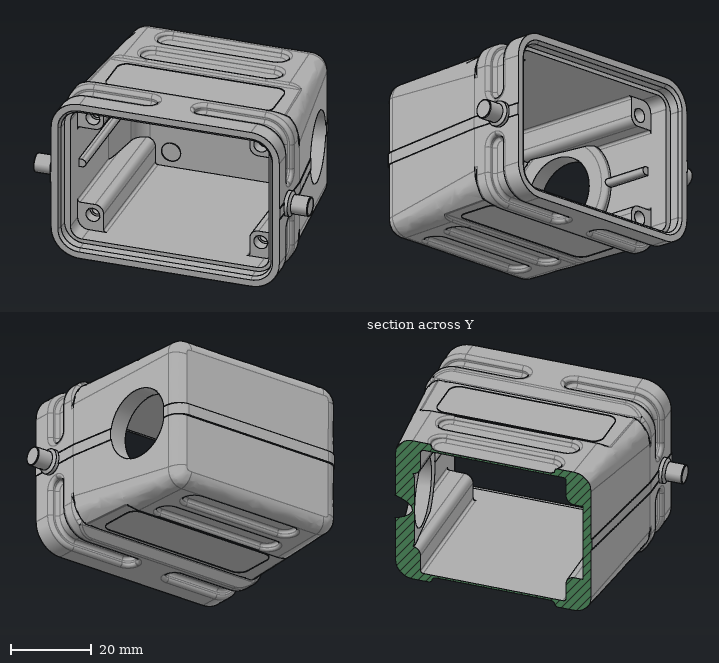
import cadquery as cq
import math


collar_half_x = 30.0
collar_half_z = 21.5
outer_corner = 7.5
collar_end = 15.1
collar_edge_fillet = 0.8
collar_end_fillet = 0.9
back_y = 50.8
taper_angle = 7.5
shell_half_z = 20.1
back_corner = 4.2
back_fillet = 3.5

parting_rib_width = 3.0
parting_rib_back = 0.5
parting_rib_side = 0.2

panel_end_y = 30.5
panel_half_z = 19.2
panel_step_fillet = 0.7
panel_side_fillet = 0.65
frame_half_x = 22.0
frame_start_y = 16.0
frame_end_y = 29.0
frame_corner = 2.7
frame_depth = 0.15

finger_slots = [(43.6, 34.3), (34.7, 37.0)]
slot_width = 5.8
slot_depth = 1.6
slot_rim_fillet = 0.75
slot_floor_fillet = 0.8

groove_centre_y = 8.1
groove_width = 4.8
groove_depth = 2.4
groove_end = 5.0
groove_rim_fillet = 1.0
groove_floor_fillet = 0.9
groove_tip_round = 2.3

mouth_half_x = 27.6
mouth_half_z = 18.9
mouth_corner = 5.0
mouth_depth = 3.4
lead_in_x = 0.6
lead_in_z = 0.8
lead_in_depth = 0.8
cavity_half_x = 26.05
cavity_half_z = 17.8
cavity_corner = 3.0
cavity_floor_y = 47.3
cavity_floor_fillet = 3.8
side_wall = 1.75

boss_face_y = 8.7
boss_inner_x = 19.2
boss_inner_z = 10.5
boss_round = 2.3
boss_root_fillet = 0.7
screw_x = 22.05
screw_z = 13.5
screw_diameter = 2.5
screw_counterbore = 3.6
screw_counterbore_depth = 3.0
screw_depth = 12.0

guide_tip_x = 24.2
guide_width = 2.1
guide_face_y = 9.6
guide_end_y = 40.0

mark_diameter = 5.0
mark_x = -15.1
mark_z = 13.75
mark_depth = 0.2

entry_diameter = 18.5
entry_y = 36.5
entry_x = 22.05
pad_diameter = 29.0
pad_fillet = 1.4

pin_tip_x = 36.0
pin_y = 6.25
pin_diameter = 4.9
pin_tip_chamfer = 0.2
pin_flange_diameter = 6.5
pin_flange_x = 31.0
pin_cone_x = 31.6
pin_root_x = 28.0

taper = math.tan(math.radians(taper_angle))
shoulder = collar_half_z - panel_half_z
back_half_x = collar_half_x - (back_y - collar_end) * taper
cavity_floor_half_x = back_half_x + (back_y - cavity_floor_y) * taper - side_wall
cavity_taper_start = cavity_floor_y - (cavity_half_x - cavity_floor_half_x) / taper

SIDES = (-1, 1)
QUADRANTS = [(sx, sz) for sx in SIDES for sz in SIDES]
OVERCUT = 5.0
TOLERANCE = 0.01


def plane_at(y):
    """Work plane across the part at depth y; local x is X and local y is Z."""
    return cq.Workplane("XZ", origin=(0, y, 0))


def rounded_rect(half_width, half_height, radius):
    return cq.Sketch().rect(2 * half_width, 2 * half_height).vertices().fillet(radius)


def rounded_block(y0, y1, half_x, half_z, radius):
    return plane_at(y0).placeSketch(rounded_rect(half_x, half_z, radius)).extrude(-(y1 - y0))


def rounded_loft(y0, size0, y1, size1):
    """Ruled transition between two rounded rectangles given as (half x, half z, radius)."""
    start = rounded_rect(*size0)
    end = rounded_rect(*size1).moved(cq.Location(cq.Vector(0, 0, -(y1 - y0))))
    return plane_at(y0).placeSketch(start, end).loft(ruled=True)


def box_between(x0, x1, y0, y1, z0, z1):
    return cq.Workplane("XY").box(x1 - x0, y1 - y0, z1 - z0, centered=False).translate((x0, y0, z0))


def is_groove_rim(edge):
    """True for a groove rim edge, lying on the outer skin of the collar between its two ends."""
    point = edge.positionAt(0.5)
    if not mouth_depth < point.y < collar_end - shoulder - collar_edge_fillet:
        return False
    runs_full_length = edge.BoundingBox().ylen > groove_width
    if runs_full_length:
        return False
    over_x = abs(point.x) - (collar_half_x - outer_corner)
    over_z = abs(point.z) - (collar_half_z - outer_corner)
    if over_x > 0 and over_z > 0:
        reach = math.hypot(over_x, over_z)
    else:
        reach = max(over_x, over_z)
    return abs(reach - outer_corner) < TOLERANCE


def corner_groove():
    """Cutter for the groove round the +X +Z collar corner."""
    y0 = groove_centre_y - groove_width / 2
    y1 = groove_centre_y + groove_width / 2
    outer_x = collar_half_x + OVERCUT
    outer_z = collar_half_z + OVERCUT
    core = rounded_block(
        0, collar_end,
        collar_half_x - groove_depth, collar_half_z - groove_depth, outer_corner - groove_depth,
    )
    cutter = box_between(groove_end, outer_x, y0, y1, groove_end, outer_z).cut(core)
    for selector, axis in (("<X", "|Z"), ("<Z", "|X")):
        cutter = cutter.faces(selector).edges(axis).fillet(groove_tip_round)
    inner_x = collar_half_x - groove_depth + TOLERANCE
    inner_z = collar_half_z - groove_depth + TOLERANCE
    floor = cq.selectors.BoxSelector((0, 0, 0), (inner_x, collar_end, inner_z))
    return cutter.edges(floor).fillet(groove_floor_fillet)


def shoulder_wedge():
    """Cutter for the flat 45 degree shoulder between the collar and the +Z face."""
    profile = [
        (collar_end - shoulder, collar_half_z),
        (collar_end, panel_half_z),
        (collar_end + OVERCUT, panel_half_z),
        (collar_end + OVERCUT, collar_half_z + OVERCUT),
        (collar_end - shoulder - OVERCUT, collar_half_z + OVERCUT),
    ]
    return cq.Workplane("YZ").polyline(profile).close().extrude(collar_half_x + OVERCUT, both=True)


def make_collar():
    collar = rounded_block(0, collar_end, collar_half_x, collar_half_z, outer_corner)
    wedge = shoulder_wedge()
    collar = collar.cut(wedge).cut(wedge.mirror("XY"))
    for side in SIDES:
        crest = cq.selectors.NearestToPointSelector((0, collar_end - shoulder, side * collar_half_z))
        collar = collar.edges(crest).fillet(collar_edge_fillet)
    collar = collar.faces(">Y").edges("%CIRCLE").fillet(collar_end_fillet)
    groove = corner_groove()
    right_pair = groove.union(groove.mirror("XY"))
    collar = collar.cut(right_pair).cut(right_pair.mirror("YZ"))
    rims = [edge for edge in collar.edges().vals() if is_groove_rim(edge)]
    return collar.newObject(rims).fillet(groove_rim_fillet)


def make_neck():
    """Plain section inside the collar end that carries the shell outline into the collar."""
    return rounded_block(collar_end - shoulder, collar_end, collar_half_x, panel_half_z, outer_corner)


def finger_slot(centre_y, length):
    """Cutter for one finger slot in the +Z face."""
    slot = (
        cq.Workplane("XY", origin=(0, centre_y, shell_half_z - slot_depth))
        .slot2D(length, slot_width)
        .extrude(slot_depth + OVERCUT)
    )
    return slot.faces("<Z").edges().fillet(slot_floor_fillet)


def label_panel():
    """Cutter that lowers the +Z face to the label panel, with a rounded inside corner at the step."""
    reach_x = collar_half_x + OVERCUT
    block = box_between(-reach_x, reach_x, collar_end, panel_end_y, panel_half_z, shell_half_z + OVERCUT)
    return block.edges(">Y and <Z").fillet(panel_step_fillet)


def on_panel_side(edge):
    """True for an edge where a label panel runs out into a rounded shell corner."""
    centre = edge.Center()
    return abs(abs(centre.z) - panel_half_z) < TOLERANCE and abs(centre.x) > frame_half_x


def label_frame():
    """Cutter for the shallow rounded field sunk into the label panel."""
    length = frame_end_y - frame_start_y
    sketch = rounded_rect(frame_half_x, length / 2, frame_corner)
    middle = (frame_start_y + frame_end_y) / 2
    floor_z = panel_half_z - frame_depth
    return cq.Workplane("XY", origin=(0, middle, floor_z)).placeSketch(sketch).extrude(OVERCUT)


def make_shell():
    shell = rounded_loft(
        collar_end, (collar_half_x, shell_half_z, outer_corner),
        back_y, (back_half_x, shell_half_z, back_corner),
    )
    shell = shell.faces(">Y").edges().fillet(back_fillet)
    for centre_y, length in finger_slots:
        cutter = finger_slot(centre_y, length)
        shell = shell.cut(cutter).cut(cutter.mirror("XY"))
        reach = cq.Vector(length / 2 + TOLERANCE, slot_width / 2 + TOLERANCE, TOLERANCE)
        for side in SIDES:
            middle = cq.Vector(0, centre_y, side * shell_half_z)
            rim = cq.selectors.BoxSelector((middle - reach).toTuple(), (middle + reach).toTuple(), True)
            shell = shell.edges(rim).fillet(slot_rim_fillet)
    panel = label_panel()
    shell = shell.cut(panel).cut(panel.mirror("XY"))
    sides = [edge for edge in shell.edges().vals() if on_panel_side(edge)]
    shell = shell.newObject(sides).fillet(panel_side_fillet)
    frame = label_frame()
    shell = shell.cut(frame).cut(frame.mirror("XY"))
    return shell


def make_parting_rib():
    """Low rib on the mid plane that follows the side walls and the back."""
    side_x = collar_half_x + parting_rib_side
    end_y = back_y + parting_rib_back
    end_x = side_x - (end_y - collar_end) * taper
    outline = [
        (-side_x, 0), (side_x, 0), (side_x, collar_end),
        (end_x, end_y), (-end_x, end_y), (-side_x, collar_end),
    ]
    rib = cq.Workplane("XY").polyline(outline).close().extrude(parting_rib_width / 2, both=True)
    return rib.faces(">Y").edges("|Z").fillet(back_fillet + parting_rib_back)


def make_cavity():
    lead_in = rounded_loft(
        0, (mouth_half_x + lead_in_x, mouth_half_z + lead_in_z, mouth_corner + lead_in_x),
        lead_in_depth, (mouth_half_x, mouth_half_z, mouth_corner),
    )
    mouth = rounded_block(lead_in_depth, mouth_depth, mouth_half_x, mouth_half_z, mouth_corner)
    front = rounded_block(mouth_depth, boss_face_y, cavity_half_x, cavity_half_z, cavity_corner)
    room = boss_section(boss_face_y, cavity_floor_y).union(front)
    outline = [
        (-cavity_half_x, 0), (cavity_half_x, 0), (cavity_half_x, cavity_taper_start),
        (cavity_floor_half_x, cavity_floor_y), (-cavity_floor_half_x, cavity_floor_y),
        (-cavity_half_x, cavity_taper_start),
    ]
    tapered = cq.Workplane("XY").polyline(outline).close().extrude(collar_half_z, both=True)
    tapered = tapered.faces(">Y").edges("|Z").fillet(cavity_floor_fillet)
    room = room.intersect(tapered).cut(entry_pad())
    for side in SIDES:
        room = room.cut(guide_rib(side))
    return room.union(mouth).union(lead_in)


def boss_section(y0, y1):
    """Cavity between the screw bosses: a cross with rounded boss corners and boss roots."""
    tall = box_between(-boss_inner_x, boss_inner_x, y0, y1, -cavity_half_z, cavity_half_z)
    wide = box_between(-cavity_half_x, cavity_half_x, y0, y1, -boss_inner_z, boss_inner_z)
    cross = tall.union(wide)
    for sx, sz in QUADRANTS:
        nearest = cq.selectors.NearestToPointSelector((sx * boss_inner_x, (y0 + y1) / 2, sz * boss_inner_z))
        cross = cross.edges(nearest).fillet(boss_round)
    roots = cross.edges("|Y").edges(">X or <X or >Z or <Z")
    return roots.fillet(boss_root_fillet)


def guide_rib(side):
    radius = guide_width / 2
    centre_x = side * (guide_tip_x + radius)
    length = guide_end_y - guide_face_y
    nose = plane_at(guide_face_y).center(centre_x, 0).circle(radius).extrude(-length)
    x0, x1 = sorted((centre_x, side * collar_half_x))
    return nose.union(box_between(x0, x1, guide_face_y, guide_end_y, -radius, radius))


def screw_holes():
    bore = screw_diameter / 2
    counterbore = screw_counterbore / 2
    profile = [
        (0, 0), (counterbore, 0), (counterbore, screw_counterbore_depth), (bore, screw_counterbore_depth),
        (bore, screw_depth), (0, screw_depth + bore),
    ]
    hole = cq.Workplane("XY").polyline(profile).close().revolve(360, (0, 0, 0), (0, 1, 0))
    holes = cq.Workplane("XY")
    for sx, sz in QUADRANTS:
        holes = holes.add(hole.translate((sx * screw_x, boss_face_y, sz * screw_z)))
    return holes.combine()


def floor_marks():
    points = [(mark_x, sz * mark_z) for sz in SIDES]
    return plane_at(cavity_floor_y).pushPoints(points).circle(mark_diameter / 2).extrude(-mark_depth)


def entry_plane():
    """Plane of the pad face round the cable entry, parallel to the sloping +X wall."""
    return cq.Plane(origin=(entry_x, entry_y, 0), xDir=(0, 0, 1), normal=(1, taper, 0))


def entry_pad():
    """Round pad that thickens the +X wall inwards."""
    pad = cq.Workplane(entry_plane()).circle(pad_diameter / 2).extrude(2 * OVERCUT)
    return pad.faces("<X").edges().fillet(pad_fillet)


def cable_entry():
    inside = cq.Workplane(entry_plane()).workplane(offset=-OVERCUT)
    return inside.circle(entry_diameter / 2).extrude(3 * OVERCUT)


def make_pin(side):
    radius = pin_diameter / 2
    flange = pin_flange_diameter / 2
    profile = [
        (pin_root_x, 0), (pin_root_x, flange), (pin_flange_x, flange), (pin_cone_x, radius),
        (pin_tip_x - pin_tip_chamfer, radius), (pin_tip_x, radius - pin_tip_chamfer), (pin_tip_x, 0),
    ]
    pin = cq.Workplane("XY").polyline(profile).close().revolve(360, (0, 0, 0), (1, 0, 0))
    pin = pin.translate((0, pin_y, 0))
    return pin if side > 0 else pin.mirror("YZ")


housing = make_collar().union(make_neck()).union(make_shell()).union(make_parting_rib())
for side in SIDES:
    housing = housing.union(make_pin(side))
for cutter in (make_cavity(), screw_holes(), floor_marks(), cable_entry()):
    housing = housing.cut(cutter)

result = housing